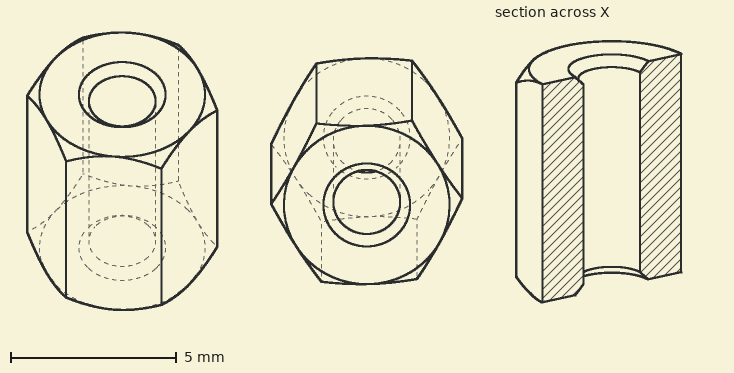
import cadquery as cq
import math

height = 7.0
across_flats = 5.0
bore_diameter = 2.015
countersink_diameter = 2.62

across_corners = across_flats / math.cos(math.radians(30))
corner_chamfer = (across_corners - across_flats) / 2
countersink_depth = (countersink_diameter - bore_diameter) / 2


def hex_body():
    """Hexagonal prism with two corners on the X axis."""
    return cq.Workplane("XY").polygon(6, across_corners).extrude(height)


def corner_envelope():
    """Chamfered cylinder whose end circles touch the flats."""
    return (
        cq.Workplane("XY")
        .circle(across_corners / 2)
        .extrude(height)
        .edges("%CIRCLE")
        .chamfer(corner_chamfer)
    )


def through_bore():
    """Bore along Z that widens into a countersink at each end."""
    bore_radius = bore_diameter / 2
    mouth_radius = countersink_diameter / 2
    profile = [
        (0, 0),
        (mouth_radius, 0),
        (bore_radius, countersink_depth),
        (bore_radius, height - countersink_depth),
        (mouth_radius, height),
        (0, height),
    ]
    return cq.Workplane("XZ").polyline(profile).close().revolve(360, (0, 0), (0, 1))


result = hex_body().intersect(corner_envelope()).cut(through_bore())